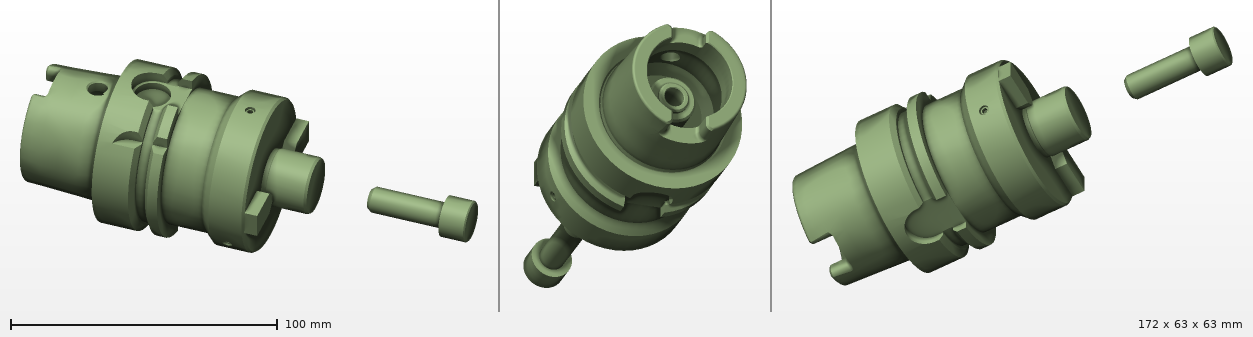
import cadquery as cq
import math

overall_length = 172.0
flange_x = 32.0
flange_width = 26.0
neck_end_x = 74.0
head_start_x = 78.0
head_end_x = 92.0
key_end_x = 97.0
spigot_end_x = 110.0

flange_radius = 31.5
neck_radius = 26.3
head_radius = 30.0
head_end_radius = 29.2
head_chamfer_length = 1.0
spigot_radius = 11.0
spigot_neck_radius = 10.7
spigot_neck_length = 1.7
spigot_chamfer_length = 1.0
spigot_chamfer_height = 0.5

taper_tip_radius = 22.7
taper_slope = 0.05
taper_length = 29.8
tip_rounding = 1.0
relief_start_x = 31.1
relief_radius = 23.7
relief_depth = 0.5
face_relief_inner_radius = 24.6
face_relief_outer_radius = 25.3

groove_start = 16.2
groove_width = 4.1
groove_radius = 27.5
groove_wall_radius = 29.0
groove_bevel_length = 1.7

bore_radius = 16.9
bore_chamfer = 0.3
bore_length = 12.7
clamp_cavity_radius = 19.3
bore_floor_radius = 15.7
bore_floor_x = 32.7
nut_radius = 9.3
nut_start_x = 20.1
nut_chamfer = 0.9
tube_radius = 6.0
tube_start_x = 18.0
tube_chamfer = 0.7
tube_hole_radius = 3.8
tube_hole_chamfer = 0.3

tip_slot_half_width = 6.5
tip_slot_ledge = 21.0
tip_slot_rounding = 2.5
tip_slot_inner = 8.6
tip_slot_top = 27.5
tip_slot_outer_half_width = 12.0
tip_slot_fillet = 1.5
tip_slot_chamfer = 0.9
upper_tip_slot_depth = 6.0
lower_tip_slot_depth = 9.6

access_hole_x = 23.4
access_hole_diameter = 7.5
access_hole_rim_diameter = 9.3

slot_diameter = 16.0
slot_center = 13.0
slot_floor = 26.5
pocket_diameter = 14.0
pocket_depth = 3.1
notch_center = 12.7
notch_corner = 20.0

key_width = 9.8
key_outer = 29.0
key_inner = 11.7
key_corner_chamfer = 3.6

set_screw_count = 3
set_screw_x = 84.0
set_screw_diameter = 4.0
set_screw_recess = 0.7
set_screw_bevel = 0.5
set_screw_socket_diameter = 2.2
set_screw_socket_depth = 1.7

screw_start_x = 131.8
screw_head_length = 10.3
screw_head_diameter = 16.0
screw_shank_diameter = 10.0
screw_tip_diameter = 7.5
screw_tip_length = 1.5
screw_head_chamfer = 0.5

flange_end_x = flange_x + flange_width


def revolve_profile(points):
    """Solid of revolution about the X axis from (x, radius) points."""
    return cq.Workplane("XY").polyline(points).close().revolve(360, (0, 0, 0), (1, 0, 0))


def make_outer_body():
    """Shank, flange, neck, head and spigot as one turned shape."""
    taper_end_radius = taper_tip_radius + taper_slope * taper_length
    groove_x = flange_x + groove_start
    groove_end_x = groove_x + groove_width
    spigot_x = head_end_x + spigot_neck_length
    spigot_step = spigot_radius - spigot_neck_radius
    body = revolve_profile([
        (0, 0),
        (0, taper_tip_radius),
        (taper_length, taper_end_radius),
        (relief_start_x, taper_end_radius),
        (relief_start_x + relief_depth, relief_radius),
        (flange_x + relief_depth, face_relief_inner_radius),
        (flange_x, face_relief_outer_radius),
        (flange_x, flange_radius),
        (groove_x - groove_bevel_length, flange_radius),
        (groove_x, groove_wall_radius),
        (groove_x, groove_radius),
        (groove_end_x, groove_radius),
        (groove_end_x, groove_wall_radius),
        (groove_end_x + groove_bevel_length, flange_radius),
        (flange_end_x, flange_radius),
        (flange_end_x, neck_radius),
        (neck_end_x, neck_radius),
        (head_start_x, head_radius),
        (head_end_x - head_chamfer_length, head_radius),
        (head_end_x, head_end_radius),
        (head_end_x, spigot_neck_radius),
        (spigot_x, spigot_neck_radius),
        (spigot_x + spigot_step, spigot_radius),
        (spigot_end_x - spigot_chamfer_length, spigot_radius),
        (spigot_end_x, spigot_radius - spigot_chamfer_height),
        (spigot_end_x, 0),
    ])
    return body.faces("<X").edges().fillet(tip_rounding)


def make_bore():
    """Space inside the shank, left around the coolant tube."""
    floor_bevel = clamp_cavity_radius - bore_floor_radius
    return revolve_profile([
        (0, 0),
        (0, bore_radius + bore_chamfer),
        (bore_chamfer, bore_radius),
        (bore_length, bore_radius),
        (bore_length, clamp_cavity_radius),
        (bore_floor_x - floor_bevel, clamp_cavity_radius),
        (bore_floor_x, bore_floor_radius),
        (bore_floor_x, nut_radius),
        (nut_start_x + nut_chamfer, nut_radius),
        (nut_start_x, nut_radius - nut_chamfer),
        (nut_start_x, tube_radius),
        (tube_start_x + tube_chamfer, tube_radius),
        (tube_start_x, tube_radius - tube_chamfer),
        (tube_start_x, tube_hole_radius + tube_hole_chamfer),
        (tube_start_x + tube_hole_chamfer, tube_hole_radius),
        (bore_floor_x, tube_hole_radius),
        (bore_floor_x, 0),
    ])


def tip_slot_outline(workplane, growth):
    """Slot section: straight walls that round outward onto a level ledge."""
    half_width = tip_slot_half_width + growth
    rounding = tip_slot_rounding - growth
    round_y = half_width + rounding
    round_z = tip_slot_ledge - tip_slot_rounding
    ledge_z = round_z + rounding
    mid_y = round_y - rounding * math.cos(math.pi / 4)
    mid_z = round_z + rounding * math.sin(math.pi / 4)
    return (
        workplane.moveTo(-half_width, tip_slot_inner)
        .lineTo(half_width, tip_slot_inner)
        .lineTo(half_width, round_z)
        .threePointArc((mid_y, mid_z), (round_y, ledge_z))
        .lineTo(tip_slot_outer_half_width, ledge_z)
        .lineTo(tip_slot_outer_half_width, tip_slot_top)
        .lineTo(-tip_slot_outer_half_width, tip_slot_top)
        .lineTo(-tip_slot_outer_half_width, ledge_z)
        .lineTo(-round_y, ledge_z)
        .threePointArc((-mid_y, mid_z), (-half_width, round_z))
        .close()
    )


def make_tip_slot(depth):
    """Drive slot on the +Z side with a filleted floor and a chamfered mouth."""
    slot = tip_slot_outline(cq.Workplane("YZ"), 0).extrude(depth)
    slot = slot.faces(">X").edges().fillet(tip_slot_fillet)
    mouth = tip_slot_outline(cq.Workplane("YZ"), tip_slot_chamfer)
    mouth = tip_slot_outline(mouth.workplane(offset=tip_slot_chamfer), 0).loft(ruled=True)
    return slot.union(mouth)


def make_access_hole():
    """Radial hole on the +Z side with a countersunk rim, opening into the clamping cavity."""
    rim_z = taper_tip_radius + taper_slope * access_hole_x
    hole_radius = access_hole_diameter / 2
    rim_radius = access_hole_rim_diameter / 2
    rim_depth = rim_radius - hole_radius
    hole = cq.Workplane("XY", origin=(access_hole_x, 0, bore_radius)).circle(hole_radius).extrude(rim_z)
    cone = cq.Solid.makeCone(
        hole_radius, rim_radius, rim_depth,
        pnt=cq.Vector(access_hole_x, 0, rim_z - rim_depth), dir=cq.Vector(0, 0, 1),
    )
    return hole.union(cq.Workplane(cone))


def make_flange_cut(center_x, center_y, floor_z):
    """Round-ended cut rising from floor_z past the flange rim, open towards the neck."""
    length = flange_end_x - center_x
    base = cq.Workplane("XY", origin=(center_x, center_y, floor_z))
    round_end = base.circle(slot_diameter / 2).extrude(flange_radius)
    straight = base.center(length / 2, 0).rect(length, slot_diameter).extrude(flange_radius)
    return round_end.union(straight)


def make_pocket():
    """Round pocket in the floor of the +Z flange slot."""
    floor = cq.Workplane("XY", origin=(flange_x + slot_center, 0, slot_floor - pocket_depth))
    return floor.circle(pocket_diameter / 2).extrude(pocket_depth)


def make_drive_key():
    """Drive key on the +Y side with chamfered inner corners."""
    key_start_x = head_end_x - head_chamfer_length
    length = key_end_x - key_start_x
    height = key_outer - key_inner
    key = cq.Workplane("XY").box(length, height, key_width)
    key = key.edges("|X and <Y").chamfer(key_corner_chamfer)
    return key.translate((key_start_x + length / 2, key_inner + height / 2, 0))


def make_set_screw_recess():
    """Set screw seat on the +Z side: recess, bevelled screw rim and socket."""
    radius = set_screw_diameter / 2
    seat_z = head_radius - set_screw_recess
    seat = cq.Workplane("XY", origin=(set_screw_x, 0, seat_z))
    recess = seat.circle(radius).extrude(2 * set_screw_recess)
    screw_bevel = cq.Solid.makeCone(
        radius, radius - set_screw_bevel, set_screw_bevel,
        pnt=cq.Vector(set_screw_x, 0, seat_z - set_screw_bevel), dir=cq.Vector(0, 0, 1),
    )
    screw_rim = seat.circle(radius).extrude(-set_screw_bevel).cut(cq.Workplane(screw_bevel))
    socket = seat.circle(set_screw_socket_diameter / 2).extrude(-set_screw_socket_depth)
    return recess.union(screw_rim).union(socket)


def turned(shape, angle):
    """Copy of a shape turned about the tool axis."""
    return shape.rotate((0, 0, 0), (1, 0, 0), angle)


def make_holder():
    """Tool holder with every cut and both drive keys."""
    holder = make_outer_body().cut(make_bore())
    holder = holder.cut(make_tip_slot(upper_tip_slot_depth))
    holder = holder.cut(turned(make_tip_slot(lower_tip_slot_depth), 180))
    holder = holder.cut(make_access_hole())

    flange_slot = make_flange_cut(flange_x + slot_center, 0, slot_floor)
    for angle in (0, 180):
        holder = holder.cut(turned(flange_slot, angle))
        holder = holder.union(turned(make_drive_key(), angle))
    holder = holder.cut(make_pocket())
    notch_y = -(notch_corner + slot_diameter / 2)
    holder = holder.cut(make_flange_cut(flange_x + notch_center, notch_y, notch_corner))

    for index in range(set_screw_count):
        holder = holder.cut(turned(make_set_screw_recess(), index * 360 / set_screw_count))
    return holder


def make_clamping_screw():
    """Cap screw on the tool axis, apart from the spigot."""
    cap_x = overall_length - screw_head_length
    shank_radius = screw_shank_diameter / 2
    cap_radius = screw_head_diameter / 2
    return revolve_profile([
        (screw_start_x, 0),
        (screw_start_x, screw_tip_diameter / 2),
        (screw_start_x + screw_tip_length, shank_radius),
        (cap_x, shank_radius),
        (cap_x, cap_radius),
        (overall_length - screw_head_chamfer, cap_radius),
        (overall_length, cap_radius - screw_head_chamfer),
        (overall_length, 0),
    ])


holder = make_holder()
clamping_screw = make_clamping_screw()

result = cq.Compound.makeCompound([holder.val(), clamping_screw.val()])